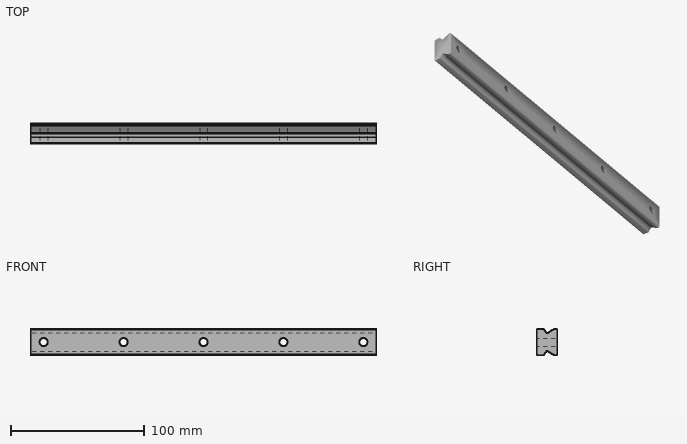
import cadquery as cq

length = 260.0
depth = 15.5
height = 20.0
back = depth / 2
front = -depth / 2
half_height = height / 2

corner_bevel = 0.8
back_land = 1.8
blend_width = 0.8
blend_drop = 0.3
shallow_width = 1.5
shallow_drop = 0.8
blend_end_y = back - back_land - blend_width
vee_start_y = blend_end_y - shallow_width
vee_floor_y = 0.5
vee_floor_width = 0.8
vee_drop = 3.0
front_land = 5.2

hole_diameter = 6.0
hole_pitch = 60.0
hole_count = 5


def make_rail():
    """Extrude the mirrored double-vee section along X."""
    upper_half = [
        (back, half_height - corner_bevel),
        (back - corner_bevel, half_height),
        (back - back_land, half_height),
        (blend_end_y, half_height - blend_drop),
        (vee_start_y, half_height - blend_drop - shallow_drop),
        (vee_floor_y, half_height - vee_drop),
        (vee_floor_y - vee_floor_width, half_height - vee_drop),
        (front + front_land, half_height),
        (front + corner_bevel, half_height),
        (front, half_height - corner_bevel),
    ]
    lower_half = [(y, -z) for y, z in reversed(upper_half)]
    section = cq.Workplane("YZ").polyline(upper_half + lower_half).close()
    return section.extrude(length / 2, both=True)


def make_holes():
    """Row of round holes through the rail along Y."""
    return (
        cq.Workplane("XZ")
        .rarray(hole_pitch, 2.5, hole_count, 1)
        .circle(hole_diameter / 2)
        .extrude(depth, both=True)
    )


result = make_rail().cut(make_holes())